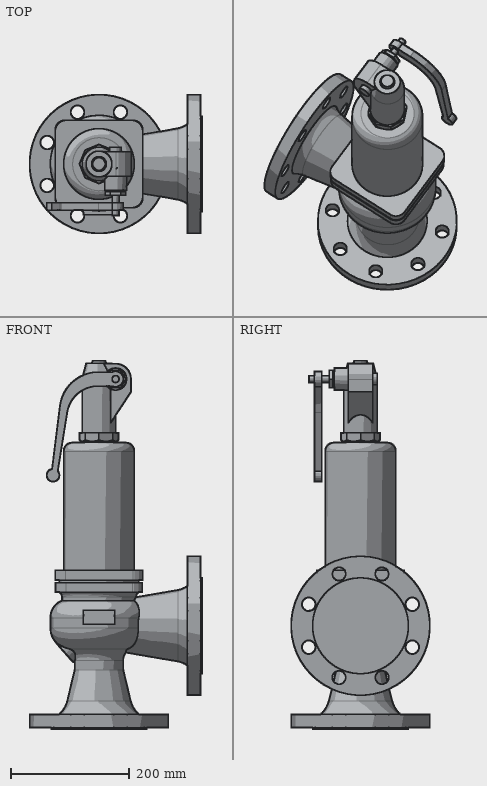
import cadquery as cq
import math

flange_radius = 117.5
flange_thickness = 22.5
face_radius = 81.0
face_height = 3.0
bolt_circle_radius = 95.0
bolt_hole_diameter = 22.5
bolt_count = 8
hub_radius = 67.5

inlet_cone_low_z = 48.5
inlet_cone_low_radius = 53.5
inlet_cone_top_z = 101.0
throat_radius = 41.0
throat_top_z = 117.0
bowl_low_z = 136.5
bowl_low_radius = 56.0
bowl_radius = 82.0
bowl_belt_low_z = 171.5
bowl_belt_top_z = 189.0
collar_radius = 63.0
collar_low_z = 217.5
collar_top_z = 224.0
collar_flare_radius = 67.5

outlet_z = 175.0
outlet_face_x = 174.9
outlet_cone_start_x = 31.0
outlet_cone_start_radius = 43.0
outlet_cone_end_x = 133.0
outlet_cone_end_radius = 60.5

drain_radius = 22.0
drain_depth = 37.5
drain_centre = (-58.0, 0, 129.5)
drain_direction = (-5.2, 0, -4.6)

plate_width = 53.0
plate_height = 24.5
plate_thickness = 7.5
plate_front_y = -85.5
plate_centre_z = 189.5

lower_square_side = 147.0
upper_square_side = 148.5
square_corner_radius = 17.5
lower_square_z = 232.0
lower_square_thickness = 16.0
gasket_radius = 67.5
upper_square_z = 252.5
upper_square_thickness = 17.0

bonnet_radius = 60.0
bonnet_top_z = 485.0
bonnet_round = 15.0
stem_radius = 24.5
locknut_sides = 8
locknut_diameter = 66.0
locknut_low_z = 487.0
locknut_top_z = 501.0
locknut_chamfer = 2.5
cap_radius = 28.5
cap_shoulder_z = 592.5
cap_top_radius = 22.0
cap_top_z = 619.0
button_low_radius = 12.5
button_top_radius = 10.5
overall_height = 623.5

shaft_x = 28.0
shaft_z = 592.5
housing_half_width = 20.5
housing_radius = 26.0
housing_inner_x = 7.5
housing_toe_x = 19.5
housing_toe_z = 517.5
housing_side_low_z = 570.5
rear_boss_radius = 10.0
rear_boss_end_y = 28.5
gland_radius = 19.0
gland_end_y = -44.0
gland_groove_radius = 13.0
gland_nut_diameter = 35.0
gland_nut_start_y = -47.0
gland_nut_end_y = -53.0
shaft_radius = 5.9
shaft_end_y = -87.0

lever_front_y = -78.0
lever_thickness = 12.5
lever_eye_radius = 13.0
lever_half_width = 12.0
lever_bend_x = -1.0
lever_outer_radius = 65.5
lever_inner_radius = 53.0
lever_outer_tilt = 7.1
lever_inner_tilt = 9.1
knob_x = -77.6
knob_z = 429.5
knob_radius = 10.9


def disc(radius, low_z, top_z):
    """Cylinder about the Z axis between two heights."""
    return cq.Workplane("XY", origin=(0, 0, low_z)).circle(radius).extrude(top_z - low_z)


def make_flange():
    """Round flange with raised face at z = 0, growing towards +Z."""
    plate = disc(flange_radius, face_height, face_height + flange_thickness)
    holes = (
        cq.Workplane("XY")
        .polarArray(bolt_circle_radius, 180 / bolt_count, 360, bolt_count)
        .circle(bolt_hole_diameter / 2)
        .extrude(face_height + flange_thickness)
    )
    return plate.cut(holes).union(disc(face_radius, 0, face_height))


def arc_leaving_along(start, end, tangent):
    """Middle point of the arc from start to end that leaves start along tangent."""
    chord = (end[0] - start[0], end[1] - start[1])
    turn = math.atan2(chord[1], chord[0]) - math.atan2(tangent[1], tangent[0])
    rise = math.tan(turn / 2) / 2
    middle_x = (start[0] + end[0]) / 2 + rise * chord[1]
    middle_y = (start[1] + end[1]) / 2 - rise * chord[0]
    return (middle_x, middle_y)


def make_body():
    """Inlet neck, throat, bowl and collar as one turned solid."""
    hub = (hub_radius, face_height + flange_thickness)
    cone_low = (inlet_cone_low_radius, inlet_cone_low_z)
    cone_top = (throat_radius, inlet_cone_top_z)
    throat_top = (throat_radius, throat_top_z)
    bowl_low = (bowl_low_radius, bowl_low_z)
    belt_low = (bowl_radius, bowl_belt_low_z)
    belt_top = (bowl_radius, bowl_belt_top_z)
    collar_low = (collar_radius, collar_low_z)
    collar_top = (collar_radius, collar_top_z)
    flare_top = (collar_flare_radius, lower_square_z)
    down_cone = (cone_low[0] - cone_top[0], cone_low[1] - cone_top[1])
    profile = (
        cq.Workplane("XZ")
        .moveTo(0, face_height)
        .lineTo(hub_radius, face_height)
        .lineTo(*hub)
        .threePointArc(arc_leaving_along(cone_low, hub, down_cone), cone_low)
        .lineTo(*cone_top)
        .lineTo(*throat_top)
        .threePointArc(arc_leaving_along(throat_top, bowl_low, (0, 1)), bowl_low)
        .threePointArc(arc_leaving_along(belt_low, bowl_low, (0, -1)), belt_low)
        .lineTo(*belt_top)
        .threePointArc(arc_leaving_along(belt_top, collar_low, (0, 1)), collar_low)
        .lineTo(*collar_top)
        .threePointArc(arc_leaving_along(collar_top, flare_top, (0, 1)), flare_top)
        .lineTo(0, lower_square_z)
        .close()
    )
    return profile.revolve(360, (0, 0, 0), (0, 1, 0))


def make_outlet():
    """Conical outlet branch and its flange."""
    flange_back_x = outlet_face_x - face_height - flange_thickness
    cone_start = (outlet_cone_start_x, outlet_cone_start_radius)
    cone_end = (outlet_cone_end_x, outlet_cone_end_radius)
    hub = (flange_back_x, hub_radius)
    along_cone = (cone_end[0] - cone_start[0], cone_end[1] - cone_start[1])
    branch = (
        cq.Workplane("XZ", origin=(0, 0, outlet_z))
        .moveTo(outlet_cone_start_x, 0)
        .lineTo(*cone_start)
        .lineTo(*cone_end)
        .threePointArc(arc_leaving_along(cone_end, hub, along_cone), hub)
        .lineTo(flange_back_x + face_height, hub_radius)
        .lineTo(flange_back_x + face_height, 0)
        .close()
        .revolve(360, (0, 0, 0), (1, 0, 0))
    )
    flange = make_flange().rotate((0, 0, 0), (0, 1, 0), -90)
    return branch.union(flange.translate((outlet_face_x, 0, outlet_z)))


def make_drain_boss():
    face = cq.Plane(origin=drain_centre, xDir=(0, 1, 0), normal=drain_direction)
    return cq.Workplane(face).circle(drain_radius).extrude(-drain_depth)


def make_name_plate():
    plane = cq.Workplane("XZ", origin=(0, plate_front_y, plate_centre_z))
    return plane.rect(plate_width, plate_height).extrude(-plate_thickness)


def make_square_flange(side, low_z, thickness):
    plate = cq.Workplane("XY", origin=(0, 0, low_z)).rect(side, side).extrude(thickness)
    return plate.edges("|Z").fillet(square_corner_radius)


def make_bonnet():
    """Two square flanges with a gasket between them, and the spring bonnet."""
    lower = make_square_flange(lower_square_side, lower_square_z, lower_square_thickness)
    upper = make_square_flange(upper_square_side, upper_square_z, upper_square_thickness)
    gasket = disc(gasket_radius, lower_square_z, upper_square_z)
    bonnet = disc(bonnet_radius, upper_square_z, bonnet_top_z).faces(">Z").edges().fillet(bonnet_round)
    return lower.union(gasket).union(upper).union(bonnet)


def make_locknut():
    """Octagonal nut whose lower corners are turned to a chamfer."""
    height = locknut_top_z - locknut_low_z
    nut = cq.Workplane("XY", origin=(0, 0, locknut_low_z))
    nut = nut.polygon(locknut_sides, locknut_diameter).extrude(height)
    blank = disc(locknut_diameter / 2, locknut_low_z, locknut_top_z)
    return nut.intersect(blank.faces("<Z").chamfer(locknut_chamfer))


def make_cap():
    """Stem, locknut, cap with tapered head, and top button."""
    profile = (
        cq.Workplane("XZ")
        .moveTo(0, bonnet_top_z)
        .lineTo(stem_radius, bonnet_top_z)
        .lineTo(stem_radius, locknut_top_z)
        .lineTo(cap_radius, locknut_top_z)
        .lineTo(cap_radius, cap_shoulder_z)
        .lineTo(cap_top_radius, cap_top_z)
        .lineTo(button_low_radius, cap_top_z)
        .lineTo(button_top_radius, overall_height)
        .lineTo(0, overall_height)
        .close()
    )
    return profile.revolve(360, (0, 0, 0), (0, 1, 0)).union(make_locknut())


def make_housing():
    """Shaft housing on the +X side of the cap, with a tapered toe."""
    diagonal = housing_radius * math.sqrt(0.5)
    side_x = shaft_x + housing_radius
    top_z = shaft_z + housing_radius
    return (
        cq.Workplane("XZ", origin=(0, housing_half_width, 0))
        .moveTo(housing_inner_x, top_z)
        .lineTo(shaft_x, top_z)
        .threePointArc((shaft_x + diagonal, shaft_z + diagonal), (side_x, shaft_z))
        .lineTo(side_x, housing_side_low_z)
        .lineTo(housing_toe_x, housing_toe_z)
        .lineTo(housing_inner_x, housing_toe_z)
        .close()
        .extrude(2 * housing_half_width)
    )


def make_gland_nut():
    """Hexagonal nut around the shaft, with two corners level with it."""
    nut = cq.Workplane("XZ", origin=(shaft_x, gland_nut_start_y, shaft_z))
    return nut.polygon(6, gland_nut_diameter).extrude(gland_nut_start_y - gland_nut_end_y)


def make_shaft():
    """Rear boss, gland and shaft turned about the lever axis, plus the gland nut."""
    profile = (
        cq.Workplane("XY", origin=(shaft_x, 0, shaft_z))
        .moveTo(0, rear_boss_end_y)
        .lineTo(rear_boss_radius, rear_boss_end_y)
        .lineTo(rear_boss_radius, 0)
        .lineTo(gland_radius, 0)
        .lineTo(gland_radius, gland_end_y)
        .lineTo(gland_groove_radius, gland_end_y)
        .lineTo(gland_groove_radius, gland_nut_start_y)
        .lineTo(shaft_radius, gland_nut_start_y)
        .lineTo(shaft_radius, shaft_end_y)
        .lineTo(0, shaft_end_y)
        .close()
    )
    return profile.revolve(360, (0, 0, 0), (0, 1, 0)).union(make_gland_nut())


def bend_point(radius, edge_z, tilt):
    """Point on a lever bend, tilt degrees above its centre on the -X side."""
    angle = math.radians(tilt)
    return (lever_bend_x - radius * math.cos(angle), edge_z - radius + radius * math.sin(angle))


def arm_end(start, tilt):
    """Point at knob height on a lever edge running down from the bend."""
    drop = start[1] - knob_z
    return (start[0] - drop * math.tan(math.radians(tilt)), knob_z)


def make_lever():
    """Bent hand lever with a round eye on the shaft and a round knob."""
    upper_z = shaft_z + lever_half_width
    lower_z = shaft_z - lever_half_width
    outer_start = bend_point(lever_outer_radius, upper_z, lever_outer_tilt)
    inner_start = bend_point(lever_inner_radius, lower_z, lever_inner_tilt)
    outer_middle = bend_point(lever_outer_radius, upper_z, (90 + lever_outer_tilt) / 2)
    inner_middle = bend_point(lever_inner_radius, lower_z, (90 + lever_inner_tilt) / 2)
    plane = cq.Workplane("XZ", origin=(0, lever_front_y + lever_thickness, 0))
    arm = (
        plane.moveTo(shaft_x, lower_z)
        .lineTo(shaft_x, upper_z)
        .lineTo(lever_bend_x, upper_z)
        .threePointArc(outer_middle, outer_start)
        .lineTo(*arm_end(outer_start, lever_outer_tilt))
        .lineTo(*arm_end(inner_start, lever_inner_tilt))
        .lineTo(*inner_start)
        .threePointArc(inner_middle, (lever_bend_x, lower_z))
        .close()
        .extrude(lever_thickness)
    )
    knob = plane.center(knob_x, knob_z).circle(knob_radius).extrude(lever_thickness)
    eye = plane.center(shaft_x, shaft_z).circle(lever_eye_radius).extrude(lever_thickness)
    return arm.union(knob).union(eye)


result = make_flange()
for section in (
    make_body(),
    make_outlet(),
    make_drain_boss(),
    make_name_plate(),
    make_bonnet(),
    make_cap(),
    make_housing(),
    make_shaft(),
    make_lever(),
):
    result = result.union(section)